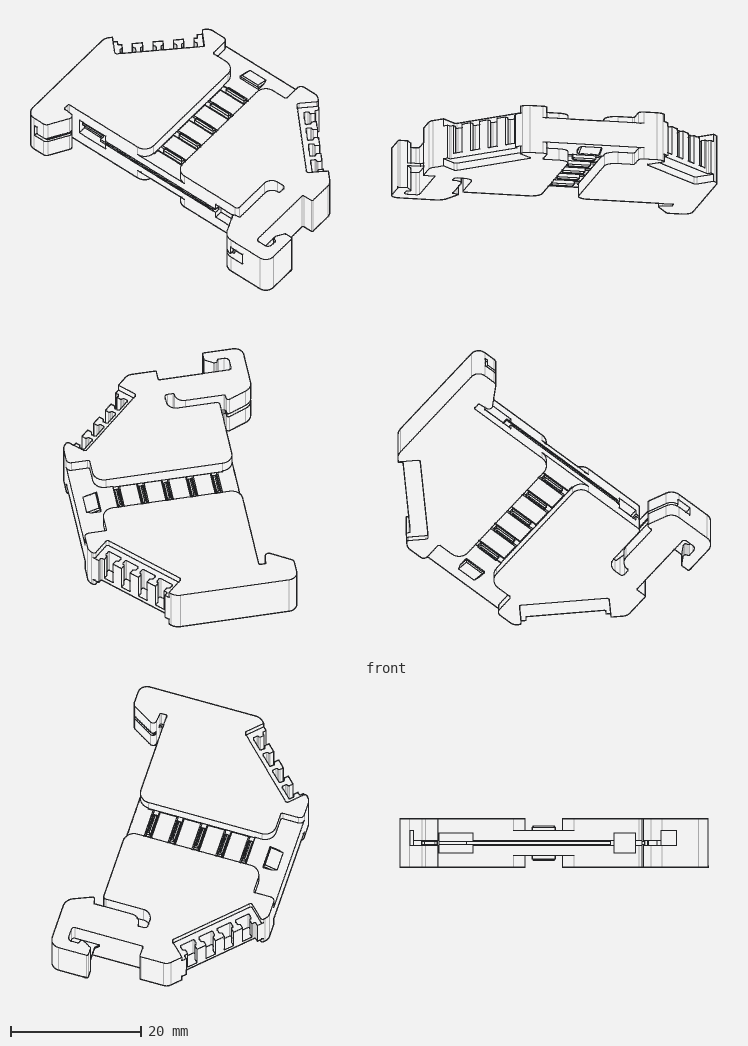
import cadquery as cq
import math

LENGTH = 47.4
WIDTH = 30.7
THICKNESS = 7.5
HALF_THICKNESS = THICKNESS / 2
MARGIN = 1.4
OVERLAP = 0.47

OUTER_RADIUS = 1.45
LEFT_SHOULDER_RADIUS = 1.9
SMALL_RADIUS = 0.2
SHOULDER_Y = 19.25
SLANT_RUN = WIDTH - SHOULDER_Y
MIDDLE_X = 22.1
RIGHT_SIDE_X = 45.12
RAIL_FACE_Y = 5.45
RIGHT_SHOULDER_Y = SHOULDER_Y + 2 * MIDDLE_X - RIGHT_SIDE_X

LEFT_FOOT_TOE_X = 3.75
LEFT_FOOT_TIP = (6.25, 4.12)
LEFT_FOOT_ROOT_X = 3.9
LEFT_FOOT_TONGUE_Y = 4.35
LEFT_FOOT_TOE_RADIUS = 0.7
LEFT_FOOT_TIP_RADIUS = 0.55

FOOT_TIP = (37.25, 4.2)
FOOT_TOE_X = 39.05
SLIT_LEFT_X = 37.15
SLIT_RIGHT_X = 38.45
SLIT_END_X = 40.15
SLIT_TOP_Y = 13.45
SLIT_HEAD_Y = 12.0
SLIT_FOOT_Y = 4.35
SLIT_END_RADIUS = 0.47
FOOT_TIP_RADIUS = 0.35
FOOT_TOE_RADIUS = 1.8
ARM_RIGHT_X = 43.28
ARM_TOP_Y = 13.85
HOOK_OUTER_X = 47.35
HOOK_TOP_Y = 6.2
NUB_Y = (5.6, 5.9)
NUB_HEIGHT = 0.2
HOOK_FLOOR_Y = 2.4
HOOK_INNER_X = 45.7
HOOK_MOUTH_X = 45.95
HOOK_LIP_X = 45.1
HOOK_LIP_Y = (4.15, 4.35, 4.85)
HOOK_OUTER_RADIUS = 0.25
HOOK_INNER_RADIUS = 0.7
HOOK_ROOT_RADIUS = 0.47

CHANNEL_WIDTH = 5.75
CHANNEL_WIDE_WIDTH = 14.4
CHANNEL_WIDE_Y = 27.2
CHANNEL_RADIUS = 1.75
CHANNEL_MOUTH_RADIUS = 0.7
CHANNEL_CORNER_RADIUS = 0.3
FLOOR_Z = 1.95
GROOVE_Z = 1.75
GROOVE_COUNT = 5
GROOVE_TOP_Y = 24.35
GROOVE_PITCH = 3.85
GROOVE_WIDTH = 0.8
PAD_CHAMFER = 0.185
RIB_TOP_Z = 2.65
RIB_LENGTH = 3.6
RIB_WIDTH = 0.65
RIB_CHAMFER = 0.25
WEDGE_LOW_Y = 29.3
WEDGE_HIGH_Y = 27.1

SLANT_LENGTH = SLANT_RUN * math.sqrt(2)
SEAT_Z = 2.6
SEAT_LENGTH = 13.85
SEAT_DEPTH = 3.35
SEAT_RADIUS = 0.35
TRIM_LENGTH = 12.32
TRIM_DEPTH = 0.65
TEE_COUNT = 4
TEE_PITCH = 3.18
TEE_NECK = 1.6
TEE_HEAD = 2.4
TEE_NECK_DEPTH = 1.4
TEE_SHOULDER_DEPTH = 1.6
TEE_DEPTH = 2.4
TEE_FLOOR_Z = -1.8

PLATE_Z = 0.215
GAP_Z = 0.355
GAP_DEPTH = 0.85
PLATE_LEFT_X = 10.25
PLATE_RIGHT_X = 32.37
PLATE_OVERHANG = 0.15
PLATE_RECESS = 0.25
PLATE_POCKET_RECESS = 0.7
PLATE_HOOK_X = 4.15
SPRING_X = 38.0
SPRING_HEEL_Y = 9.4
SPRING_FOOT_Y = 4.05
SPRING_BEND_Y = 8.65
SPRING_BEND_RADIUS = 1.2
SPRING_NECK = (39.15, 11.85)
SPRING_NECK_RADIUS = 0.47
SPRING_TOP_X = 38.73
HOOK_RAMP = 0.6
POCKET_Z = 1.5
POCKET_DEPTH = 1.3
LEFT_POCKET_X = (6.0, 11.2)
RIGHT_POCKET_X = (32.85, 36.15)
NOTCH_TOP_Z = 1.95
NOTCH_DEPTH = 1.4
LEFT_NOTCH_X = (1.55, 2.05)
RIGHT_NOTCH_X = (40.1, 42.45)


def rounded_outline(corners, plane="XY"):
    """Closed wire through (x, y, radius) corners, each rounded by its radius."""
    stretches = []
    count = len(corners)
    for i, (x, y, radius) in enumerate(corners):
        if radius == 0:
            stretches.append([(x, y)])
            continue
        before = corners[i - 1]
        after = corners[(i + 1) % count]
        angle_in = math.atan2(before[1] - y, before[0] - x)
        angle_out = math.atan2(after[1] - y, after[0] - x)
        half_turn = math.remainder(angle_out - angle_in, 2 * math.pi) / 2
        half_angle = abs(half_turn)
        bisector = angle_in + half_turn
        tangent = radius / math.tan(half_angle)
        arc_middle = radius / math.sin(half_angle) - radius
        stretches.append([
            (x + distance * math.cos(angle), y + distance * math.sin(angle))
            for distance, angle in ((tangent, angle_in), (arc_middle, bisector), (tangent, angle_out))
        ])
    wire = cq.Workplane(plane).moveTo(*stretches[0][-1])
    for stretch in stretches[1:] + stretches[:1]:
        wire = wire.lineTo(*stretch[0])
        if len(stretch) > 1:
            wire = wire.threePointArc(stretch[1], stretch[2])
    return wire.close()


def layer(corners, z_low, z_high, plane="XY"):
    """Rounded outline filled between two heights."""
    return rounded_outline(corners, plane).extrude(z_high - z_low).translate((0, 0, z_low))


def box(x_range, y_range, z_range):
    return (
        cq.Workplane("XY")
        .box(x_range[1] - x_range[0], y_range[1] - y_range[0], z_range[1] - z_range[0], centered=False)
        .translate((x_range[0], y_range[0], z_range[0]))
    )


def both_faces(shape):
    return shape.union(shape.mirror("XY"))


def both_sides(shape):
    return shape.union(shape.mirror("YZ", (MIDDLE_X, 0, 0)))


def body_blank():
    corners = [
        (0, 0, OUTER_RADIUS),
        (LEFT_FOOT_TOE_X, 0, LEFT_FOOT_TOE_RADIUS),
        (*LEFT_FOOT_TIP, LEFT_FOOT_TIP_RADIUS),
        (LEFT_FOOT_ROOT_X, LEFT_FOOT_TONGUE_Y, SMALL_RADIUS),
        (LEFT_FOOT_ROOT_X, RAIL_FACE_Y, SMALL_RADIUS),
        (SLIT_LEFT_X, RAIL_FACE_Y, SLIT_END_RADIUS),
        (SLIT_LEFT_X, SLIT_TOP_Y, OUTER_RADIUS),
        (SLIT_END_X, SLIT_TOP_Y, SLIT_END_RADIUS),
        (SLIT_END_X, SLIT_HEAD_Y, SMALL_RADIUS),
        (SLIT_RIGHT_X, SLIT_HEAD_Y, OUTER_RADIUS),
        (SLIT_RIGHT_X, SLIT_FOOT_Y, SMALL_RADIUS),
        (*FOOT_TIP, FOOT_TIP_RADIUS),
        (FOOT_TOE_X, 0, FOOT_TOE_RADIUS),
        (HOOK_OUTER_X, 0, OUTER_RADIUS),
        (HOOK_OUTER_X, HOOK_TOP_Y, HOOK_OUTER_RADIUS),
        (HOOK_MOUTH_X, HOOK_TOP_Y, 0),
        (HOOK_LIP_X, HOOK_LIP_Y[2], SMALL_RADIUS),
        (HOOK_LIP_X, HOOK_LIP_Y[1], SMALL_RADIUS),
        (HOOK_INNER_X, HOOK_LIP_Y[0], SMALL_RADIUS),
        (HOOK_INNER_X, HOOK_FLOOR_Y, HOOK_INNER_RADIUS),
        (ARM_RIGHT_X, HOOK_FLOOR_Y, HOOK_ROOT_RADIUS),
        (ARM_RIGHT_X, ARM_TOP_Y, SMALL_RADIUS),
        (RIGHT_SIDE_X, ARM_TOP_Y, SMALL_RADIUS),
        (RIGHT_SIDE_X, RIGHT_SHOULDER_Y, OUTER_RADIUS),
        (2 * MIDDLE_X - SLANT_RUN, WIDTH, OUTER_RADIUS),
        (SLANT_RUN, WIDTH, OUTER_RADIUS),
        (0, SHOULDER_Y, LEFT_SHOULDER_RADIUS),
    ]
    blank = layer(corners, -HALF_THICKNESS, HALF_THICKNESS)
    nub_z = (-HALF_THICKNESS, NUB_HEIGHT - HALF_THICKNESS)
    nub = box((HOOK_OUTER_X - OVERLAP, LENGTH), NUB_Y, nub_z)
    return blank.union(nub)


def channel():
    """Space removed above the channel floor on the upper face."""
    left_x = MIDDLE_X - CHANNEL_WIDTH / 2
    wide_x = MIDDLE_X - CHANNEL_WIDE_WIDTH / 2
    flare_x = left_x - CHANNEL_RADIUS - MARGIN
    mouth_x = wide_x - CHANNEL_MOUTH_RADIUS - MARGIN
    left = [
        (flare_x, RAIL_FACE_Y - MARGIN, 0),
        (flare_x, RAIL_FACE_Y, 0),
        (left_x, RAIL_FACE_Y, CHANNEL_RADIUS),
        (left_x, CHANNEL_WIDE_Y, CHANNEL_RADIUS),
        (wide_x, CHANNEL_WIDE_Y, CHANNEL_CORNER_RADIUS),
        (wide_x, WIDTH, CHANNEL_MOUTH_RADIUS),
        (mouth_x, WIDTH, 0),
        (mouth_x, WIDTH + MARGIN, 0),
    ]
    right = [(2 * MIDDLE_X - x, y, radius) for x, y, radius in reversed(left)]
    return layer(left + right, GROOVE_Z, HALF_THICKNESS + MARGIN)


def pads():
    """Raised floor between the grooves, plus the plain floor above the first groove."""
    half_width = CHANNEL_WIDTH / 2
    x_range = (MIDDLE_X - half_width, MIDDLE_X + half_width)
    z_range = (GROOVE_Z - OVERLAP, FLOOR_Z)
    wide_half = CHANNEL_WIDE_WIDTH / 2 + CHANNEL_MOUTH_RADIUS
    raised = box((MIDDLE_X - wide_half, MIDDLE_X + wide_half), (GROOVE_TOP_Y, WIDTH), z_range)
    for i in range(GROOVE_COUNT):
        top_y = GROOVE_TOP_Y - GROOVE_WIDTH - i * GROOVE_PITCH
        bottom_y = max(top_y + GROOVE_WIDTH - GROOVE_PITCH, RAIL_FACE_Y)
        pad = box(x_range, (bottom_y, top_y), z_range)
        bevelled = pad.faces(">Z").edges()
        if bottom_y == RAIL_FACE_Y:
            bevelled = pad.faces(">Z").edges("not <Y")
        raised = raised.union(bevelled.chamfer(PAD_CHAMFER))
    flare_half = half_width + CHANNEL_RADIUS
    flare_floor = box(
        (MIDDLE_X - flare_half, MIDDLE_X + flare_half),
        (RAIL_FACE_Y, RAIL_FACE_Y + CHANNEL_RADIUS),
        z_range,
    )
    return raised.union(flare_floor)


def ribs():
    """A bevelled rib in each groove and a wedge near the top edge."""
    x_range = (MIDDLE_X - RIB_LENGTH / 2, MIDDLE_X + RIB_LENGTH / 2)
    rib_z = (GROOVE_Z - OVERLAP, RIB_TOP_Z)
    wedge = (
        cq.Workplane("YZ")
        .polyline([
            (WEDGE_HIGH_Y, GROOVE_Z - OVERLAP),
            (WEDGE_LOW_Y, GROOVE_Z - OVERLAP),
            (WEDGE_LOW_Y, FLOOR_Z),
            (WEDGE_HIGH_Y, RIB_TOP_Z),
        ])
        .close()
        .extrude(RIB_LENGTH)
        .translate((x_range[0], 0, 0))
    )
    raised = wedge.faces(">Z").edges("not >Y").chamfer(RIB_CHAMFER)
    for i in range(GROOVE_COUNT):
        middle_y = GROOVE_TOP_Y - GROOVE_WIDTH / 2 - i * GROOVE_PITCH
        rib = box(x_range, (middle_y - RIB_WIDTH / 2, middle_y + RIB_WIDTH / 2), rib_z)
        raised = raised.union(rib.faces(">Z").chamfer(RIB_CHAMFER))
    return raised


def marker_seats():
    """Recesses, trimmed edge and tee slots of the marker seats on both slanted sides."""
    side = cq.Plane(origin=(0, SHOULDER_Y, 0), xDir=(1, 1, 0), normal=(0, 0, 1))
    middle = SLANT_LENGTH / 2
    low_u = middle - SEAT_LENGTH / 2
    high_u = middle + SEAT_LENGTH / 2
    seat = [
        (low_u, MARGIN, 0),
        (low_u, -SEAT_DEPTH, SEAT_RADIUS),
        (high_u, -SEAT_DEPTH, SEAT_RADIUS),
        (high_u, 0, SEAT_RADIUS),
        (high_u + MARGIN / 2, 0, 0),
        (high_u + MARGIN / 2, MARGIN, 0),
    ]
    space = both_faces(layer(seat, SEAT_Z, HALF_THICKNESS + MARGIN, side))

    trim_u = TRIM_LENGTH / 2
    trim = [
        (middle - trim_u, MARGIN, 0),
        (middle - trim_u, -TRIM_DEPTH, SMALL_RADIUS),
        (middle + trim_u, -TRIM_DEPTH, SMALL_RADIUS),
        (middle + trim_u, MARGIN, 0),
    ]
    space = space.union(layer(trim, -SEAT_Z, SEAT_Z, side))

    for i in range(TEE_COUNT):
        u = middle + (i - (TEE_COUNT - 1) / 2) * TEE_PITCH
        half_tee = [
            (TEE_NECK / 2, MARGIN, 0),
            (TEE_NECK / 2, -TEE_NECK_DEPTH, SMALL_RADIUS),
            (TEE_HEAD / 2, -TEE_SHOULDER_DEPTH, SMALL_RADIUS),
            (TEE_HEAD / 2, -TEE_DEPTH, SMALL_RADIUS),
        ]
        right = [(u + offset, w, radius) for offset, w, radius in half_tee]
        left = [(u - offset, w, radius) for offset, w, radius in reversed(half_tee)]
        space = space.union(layer(right + left, TEE_FLOOR_Z, SEAT_Z, side))
    return both_sides(space)


def plate_gap():
    """Gap around the middle plate, with pockets in the rail face and notches in the feet."""
    gap_z = (-GAP_Z, GAP_Z)
    pocket_z = (-POCKET_Z, POCKET_Z)
    notch_z = (-GAP_Z, NOTCH_TOP_Z)
    pocket_y = (RAIL_FACE_Y - OVERLAP, RAIL_FACE_Y + POCKET_DEPTH)
    space = box(
        (LEFT_POCKET_X[0], SLIT_LEFT_X),
        (RAIL_FACE_Y - OVERLAP, RAIL_FACE_Y + GAP_DEPTH),
        gap_z,
    )
    for x_range in (LEFT_POCKET_X, RIGHT_POCKET_X):
        space = space.union(box(x_range, pocket_y, pocket_z))
    for x_range in (LEFT_NOTCH_X, RIGHT_NOTCH_X):
        space = space.union(box(x_range, (-OVERLAP, NOTCH_DEPTH), notch_z))
    left_tip_x, left_tip_y = LEFT_FOOT_TIP
    left_foot = [
        (LEFT_NOTCH_X[0], -OVERLAP, 0),
        (left_tip_x + OVERLAP, -OVERLAP, 0),
        (left_tip_x + OVERLAP, left_tip_y, 0),
        (left_tip_x - GAP_DEPTH, left_tip_y, 0),
        (LEFT_FOOT_TOE_X - GAP_DEPTH / 2, GAP_DEPTH, 0),
        (LEFT_NOTCH_X[0], GAP_DEPTH, 0),
    ]
    tip_x, tip_y = FOOT_TIP
    right_foot = [
        (tip_x - OVERLAP, -OVERLAP, 0),
        (RIGHT_NOTCH_X[0], -OVERLAP, 0),
        (RIGHT_NOTCH_X[0], GAP_DEPTH, 0),
        (FOOT_TOE_X + GAP_DEPTH / 2, GAP_DEPTH, 0),
        (tip_x + GAP_DEPTH, tip_y, 0),
        (tip_x - OVERLAP, tip_y, 0),
    ]
    for corners in (left_foot, right_foot):
        space = space.union(layer(corners, *gap_z))
    return space


def middle_plate():
    """Plate edge in the rail face, the spring strip in the slit and the floor of the hook."""
    rail_edge = box(
        (PLATE_LEFT_X, PLATE_RIGHT_X),
        (RAIL_FACE_Y - PLATE_OVERHANG, RAIL_FACE_Y + POCKET_DEPTH + OVERLAP),
        (-PLATE_Z, PLATE_Z),
    )
    spring = [
        (SLIT_LEFT_X - OVERLAP, SLIT_TOP_Y + OVERLAP, 0),
        (SLIT_LEFT_X - OVERLAP, SPRING_HEEL_Y, 0),
        (SLIT_LEFT_X, SPRING_HEEL_Y, 0),
        (SPRING_X, SPRING_BEND_Y, SPRING_BEND_RADIUS),
        (SPRING_X, SPRING_FOOT_Y, 0),
        (SLIT_RIGHT_X + OVERLAP, SPRING_FOOT_Y, 0),
        (SLIT_RIGHT_X + OVERLAP, SPRING_NECK[1] - OVERLAP, 0),
        (*SPRING_NECK, SPRING_NECK_RADIUS),
        (SPRING_TOP_X, SLIT_TOP_Y + OVERLAP, 0),
    ]
    hook_floor = [
        (ARM_RIGHT_X - OVERLAP, HOOK_TOP_Y + HOOK_RAMP, 0),
        (ARM_RIGHT_X, HOOK_TOP_Y + HOOK_RAMP, 0),
        (ARM_RIGHT_X + HOOK_RAMP, HOOK_TOP_Y, 0),
        (HOOK_MOUTH_X + OVERLAP, HOOK_TOP_Y, 0),
        (HOOK_MOUTH_X + OVERLAP, HOOK_FLOOR_Y - OVERLAP, 0),
        (ARM_RIGHT_X - OVERLAP, HOOK_FLOOR_Y - OVERLAP, 0),
    ]
    pocket_edge_y = RAIL_FACE_Y + PLATE_POCKET_RECESS
    foot_edge = [
        (LEFT_FOOT_ROOT_X - OVERLAP, GAP_DEPTH / 2, 0),
        (LEFT_FOOT_TOE_X, GAP_DEPTH / 2, 0),
        (LEFT_FOOT_TIP[0] - 2 * PLATE_RECESS, LEFT_FOOT_TIP[1] - PLATE_RECESS, 0),
        (PLATE_HOOK_X, LEFT_FOOT_TONGUE_Y, 0),
        (PLATE_HOOK_X, pocket_edge_y, 0),
        (PLATE_LEFT_X + OVERLAP, pocket_edge_y, 0),
        (PLATE_LEFT_X + OVERLAP, RAIL_FACE_Y + POCKET_DEPTH + OVERLAP, 0),
        (LEFT_FOOT_ROOT_X - OVERLAP, RAIL_FACE_Y + POCKET_DEPTH + OVERLAP, 0),
    ]
    return (
        rail_edge
        .union(layer(spring, -PLATE_Z, PLATE_Z))
        .union(layer(hook_floor, -PLATE_Z, PLATE_Z))
        .union(layer(foot_edge, -PLATE_Z, PLATE_Z))
    )


result = (
    body_blank()
    .cut(both_faces(channel()))
    .cut(marker_seats())
    .cut(plate_gap())
    .union(both_faces(pads()))
    .union(both_faces(ribs()))
    .union(middle_plate())
)